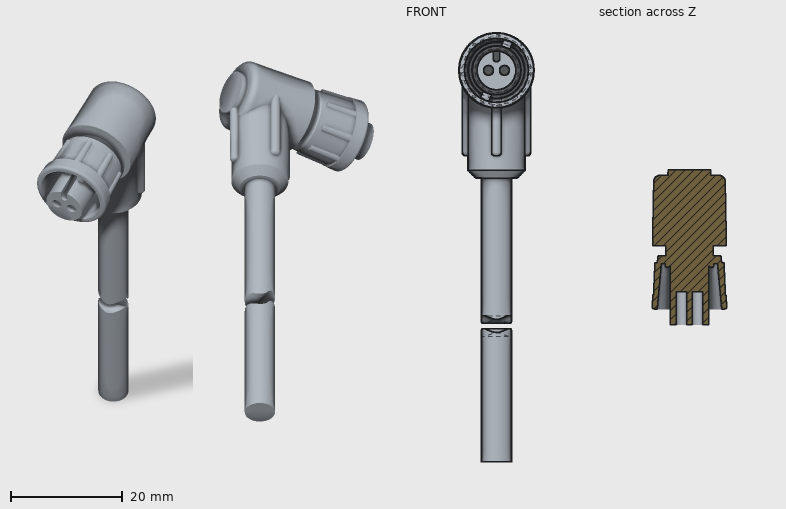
import cadquery as cq
import math


overall_length_y = 27.94
overall_height_z = 76.98

head_rear_y = 5.14
head_front_y = -7.55
head_rear_radius = 6.45
head_front_radius = 6.68
head_rear_fillet = 1.2
grip_reach = 6.15
disc_radius = 3.9

sleeve_radius = 5.12
sleeve_top_z = -3.0
sleeve_bottom_z = -19.35
sleeve_chamfer = 1.45
grip_radius = 0.88
grip_bottom_z = -15.35
grip_top_z = -1.5
grip_count = 4
grip_end_fillet = 0.65

neck_radius = 4.3
nut_rear_y = -9.3
nut_front_y = -18.93
nut_rear_radius = 5.75
nut_rear_chamfer = 0.2
flange_rear_y = -16.35
cone_front_radius = 6.1
flange_rear_radius = 6.6
flange_radius = 6.75
flange_fillet = 0.5
bore_floor_y = -10.8
bore_floor_radius = 5.0
bore_mouth_radius = 5.75

nut_rib_count = 8
nut_rib_rear_y = -10.5
nut_rib_axis_radius = 5.65
nut_rib_rear_radius = 0.6
nut_rib_front_radius = 0.85

peg_diameter = 1.7
peg_tip_radius = 4.4
peg_root_radius = 5.8
peg_y = -17.8
peg_angles = (68, 248)

insert_radius = 3.47
insert_front_y = grip_reach - overall_length_y
key_width = 1.2
key_bottom_z = 1.55
contact_diameter = 1.75
contact_spacing = 2.85
contact_depth = 6.0
seal_tube_radius = 0.48
seal_overlap = 0.02
seal_ring_radius = insert_radius + seal_tube_radius - seal_overlap
seal_rise = 0.2
seal_y = bore_floor_y - seal_rise

cable_radius = 2.72
cable_bottom_z = flange_radius - overall_height_z
break_upper_z = -44.67
break_lower_z = -47.02
wave_height = 0.7


def rod_along_y(radius, rear_y, front_y):
    """Round rod on the plug axis."""
    return cq.Workplane("XZ", origin=(0, rear_y, 0)).circle(radius).extrude(rear_y - front_y)


def revolve_about_y(profile):
    """Turn a closed (radius, y) profile about the plug axis."""
    return profile.revolve(360, (0, 0, 0), (0, 1, 0))


def make_head():
    barrel = revolve_about_y(
        cq.Workplane("XY").polyline([
            (0, head_rear_y),
            (head_rear_radius, head_rear_y),
            (head_front_radius, head_front_y),
            (0, head_front_y),
        ]).close()
    )
    barrel = barrel.faces(">Y").edges().fillet(head_rear_fillet)
    disc = rod_along_y(disc_radius, grip_reach, 0)
    return barrel.union(disc)


def make_sleeve():
    sleeve = (
        cq.Workplane("XY", origin=(0, 0, sleeve_bottom_z))
        .circle(sleeve_radius)
        .extrude(sleeve_top_z - sleeve_bottom_z)
        .faces("<Z").chamfer(sleeve_chamfer)
    )
    for index in range(grip_count):
        grip = (
            cq.Workplane("XY", origin=(grip_reach - grip_radius, 0, grip_bottom_z))
            .circle(grip_radius)
            .extrude(grip_top_z - grip_bottom_z)
            .faces("<Z").edges().fillet(grip_end_fillet)
            .rotate((0, 0, 0), (0, 0, 1), index * 360 / grip_count)
        )
        sleeve = sleeve.union(grip)
    return sleeve


def make_nut():
    shell = revolve_about_y(
        cq.Workplane("XY")
        .moveTo(0, nut_rear_y)
        .lineTo(nut_rear_radius - nut_rear_chamfer, nut_rear_y)
        .lineTo(nut_rear_radius, nut_rear_y - nut_rear_chamfer)
        .lineTo(cone_front_radius, flange_rear_y)
        .lineTo(flange_rear_radius, flange_rear_y)
        .lineTo(flange_radius, nut_front_y + flange_fillet)
        .radiusArc((flange_radius - flange_fillet, nut_front_y), flange_fillet)
        .lineTo(0, nut_front_y)
        .close()
    )
    for index in range(nut_rib_count):
        rib = cq.Solid.makeCone(
            nut_rib_rear_radius,
            nut_rib_front_radius,
            nut_rib_rear_y - flange_rear_y,
            cq.Vector(nut_rib_axis_radius, nut_rib_rear_y, 0),
            cq.Vector(0, -1, 0),
        )
        rib = rib.rotate(cq.Vector(0, 0, 0), cq.Vector(0, 1, 0), index * 360 / nut_rib_count)
        shell = shell.union(cq.Workplane(rib))
    bore = revolve_about_y(
        cq.Workplane("XY").polyline([
            (0, bore_floor_y),
            (bore_floor_radius, bore_floor_y),
            (bore_mouth_radius, nut_front_y),
            (0, nut_front_y),
        ]).close()
    )
    nut = shell.cut(bore)
    for angle in peg_angles:
        outward = cq.Vector(math.cos(math.radians(angle)), 0, math.sin(math.radians(angle)))
        peg = cq.Solid.makeCylinder(
            peg_diameter / 2,
            peg_root_radius - peg_tip_radius,
            outward * peg_tip_radius + cq.Vector(0, peg_y, 0),
            outward,
        )
        nut = nut.union(cq.Workplane(peg))
    return nut


def make_insert():
    """Contact insert with its key slot and two contact holes, starting inside the nut floor."""
    insert = rod_along_y(insert_radius, nut_rear_y, insert_front_y)
    slot_length = bore_floor_y - insert_front_y
    slot_round_z = key_bottom_z + key_width / 2
    slot = (
        cq.Workplane("XZ", origin=(0, bore_floor_y, 0))
        .moveTo(-key_width / 2, insert_radius + key_width)
        .lineTo(-key_width / 2, slot_round_z)
        .threePointArc((0, key_bottom_z), (key_width / 2, slot_round_z))
        .lineTo(key_width / 2, insert_radius + key_width)
        .close()
        .extrude(slot_length)
    )
    contacts = (
        cq.Workplane("XZ", origin=(0, insert_front_y + contact_depth, 0))
        .pushPoints([(-contact_spacing / 2, 0), (contact_spacing / 2, 0)])
        .circle(contact_diameter / 2)
        .extrude(contact_depth)
    )
    return insert.cut(slot).cut(contacts)


def make_seal():
    """Sealing ring seated in the nut floor around the insert."""
    return cq.Workplane(
        cq.Solid.makeTorus(seal_ring_radius, seal_tube_radius, cq.Vector(0, seal_y, 0), cq.Vector(0, 1, 0))
    )


def make_cable(break_z, end_z):
    """Length of cable from the plain end at end_z to a wavy break at break_z."""
    half = cable_radius / 2
    outline = (
        cq.Workplane("YZ", origin=(-cable_radius, 0, 0))
        .moveTo(-cable_radius, end_z)
        .lineTo(-cable_radius, break_z)
        .threePointArc((-half, break_z + wave_height), (0, break_z))
        .threePointArc((half, break_z - wave_height), (cable_radius, break_z))
        .lineTo(cable_radius, end_z)
        .close()
        .extrude(2 * cable_radius)
    )
    lowest_z = min(break_z - wave_height, end_z)
    highest_z = max(break_z + wave_height, end_z)
    rod = cq.Workplane("XY", origin=(0, 0, lowest_z)).circle(cable_radius).extrude(highest_z - lowest_z)
    return rod.intersect(outline)


def make_connector():
    neck = rod_along_y(neck_radius, head_front_y, nut_rear_y)
    plug = make_head().union(neck).union(make_nut()).union(make_insert()).union(make_seal())
    cable_outlet = make_sleeve().union(make_cable(break_upper_z, sleeve_bottom_z))
    return plug.union(cable_outlet)


connector = make_connector()
cable_end = make_cable(break_lower_z, cable_bottom_z)

result = cq.Compound.makeCompound([*connector.solids().vals(), *cable_end.solids().vals()])